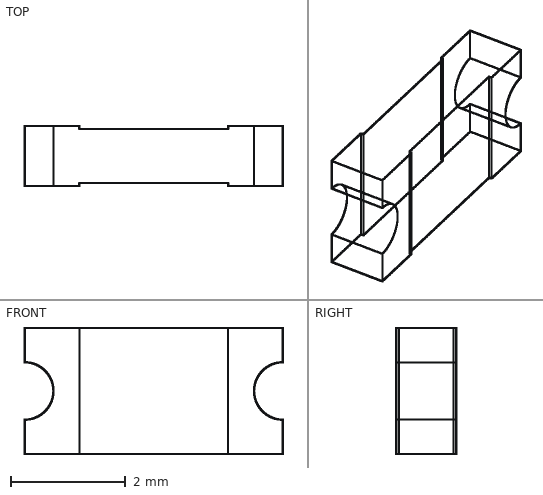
import cadquery as cq

length = 4.5
thickness = 1.05
height = 2.2

terminal_length = 0.955
face_recess = 0.05
notch_radius = 0.5

body_length = length - 2 * terminal_length


def face_pocket(side):
    """Shallow full-height recess in the -Y (side=-1) or +Y (side=1) face."""
    return (
        cq.Workplane("XY")
        .box(body_length, 2 * face_recess, height)
        .translate((0, side * thickness / 2, 0))
    )


def end_notch(side):
    """Half-round notch through the thickness at the -X or +X end."""
    return (
        cq.Workplane("XZ")
        .center(side * length / 2, 0)
        .circle(notch_radius)
        .extrude(thickness / 2, both=True)
    )


result = cq.Workplane("XY").box(length, thickness, height)
for side in (-1, 1):
    result = result.cut(face_pocket(side)).cut(end_notch(side))